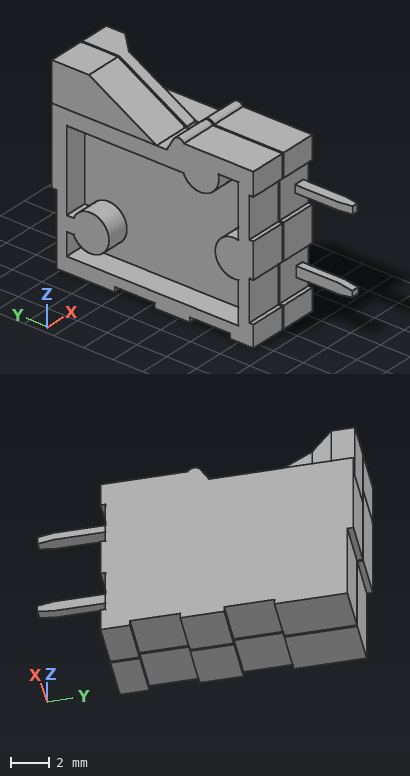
import cadquery as cq
import math


TOTAL_WIDTH = 4.98
SLICE_GAP = 0.1
SLICE_WIDTH = (TOTAL_WIDTH - SLICE_GAP) / 2
RIGHT_SLICE_X = SLICE_WIDTH + SLICE_GAP

DEPTH = 13.6
LEDGE_Z = 9.97
FRONT_TOP_Z = 10.75
BACK_STEP = 0.32
BACK_STEP_Z = 4.79
GROOVE_FRONT_Y = 5.85
RIDGE_SLOPE = math.radians(60)
RIDGE_RADIUS = 0.4
RIDGE_TOP_Z = 10.98

NOTCHES_PER_SIDE = 2
NOTCH_LENGTH = 2.7
FRONT_NOTCH_DEPTH = 0.27
BOTTOM_NOTCH_DEPTH = 0.32
NOTCH_PITCH = 5.06
LOWER_NOTCH_Z = 2.8
FIRST_NOTCH_Y = 2.94

POCKET_DEPTH = 1.5
WALL = 1.01
POCKET_BACK_Y = 12.59
POCKET_STEP_Y = 3.57
BOSS_RADIUS = 1.25
BACK_BOSS = (10.98, 3.01)
TOP_BOSS = (POCKET_STEP_Y, 9.45)
FRONT_BOSS = (1.32, 5.01)

LEVER_TOP_Z = 12.6
LEVER_KNEE_Y = 11.08
LEVER_ANGLE = math.radians(30)
LEVER_TOE_Y = LEVER_KNEE_Y - (LEVER_TOP_Z - LEDGE_Z) / math.tan(LEVER_ANGLE)
KNEE_RADIUS = 0.95
LEVER_WIDE_X = 4.58
LEVER_NARROW_X = 3.3
LEVER_SHOULDER_Y = 11.03
LEVER_TRAVEL = 1.7
SLOT_DEPTH = 1.0
SLOT_FLOOR_Z = LEDGE_Z - SLOT_DEPTH

PIN_X = 4.19
PIN_TURNS = (90, 0)
LOWER_PIN_Z = 2.79
PIN_PITCH = 5.08
PIN_TIP_Y = -3.5
PIN_TAPER_LENGTH = 0.89
PIN_WIDTH = 0.7
PIN_THICKNESS = 0.51
PIN_TIP_WIDTH = 0.41


def box(x0, x1, y0, y1, z0, z1):
    """Box between the given coordinates."""
    return cq.Workplane("XY").box(x1 - x0, y1 - y0, z1 - z0, centered=False).translate((x0, y0, z0))


def housing_blank(x_start):
    """One slice of the side profile, without pocket or slot."""
    ridge_z = RIDGE_TOP_Z - RIDGE_RADIUS
    tangent_z = ridge_z + RIDGE_RADIUS * math.cos(RIDGE_SLOPE)
    tangent_y = GROOVE_FRONT_Y - (tangent_z - LEDGE_Z) / math.tan(RIDGE_SLOPE)
    ridge_y = tangent_y - RIDGE_RADIUS * math.sin(RIDGE_SLOPE)
    ridge_end_y = ridge_y - math.sqrt(RIDGE_RADIUS**2 - (FRONT_TOP_Z - ridge_z) ** 2)
    blank = (
        cq.Workplane("YZ", origin=(x_start, 0, 0))
        .moveTo(0, 0)
        .lineTo(DEPTH - BACK_STEP, 0)
        .lineTo(DEPTH - BACK_STEP, BACK_STEP_Z)
        .lineTo(DEPTH, BACK_STEP_Z)
        .lineTo(DEPTH, LEDGE_Z)
        .lineTo(GROOVE_FRONT_Y, LEDGE_Z)
        .lineTo(tangent_y, tangent_z)
        .threePointArc((ridge_y, RIDGE_TOP_Z), (ridge_end_y, FRONT_TOP_Z))
        .lineTo(0, FRONT_TOP_Z)
        .close()
        .extrude(SLICE_WIDTH)
    )
    x_end = x_start + SLICE_WIDTH
    half = NOTCH_LENGTH / 2
    for index in range(NOTCHES_PER_SIDE):
        z = LOWER_NOTCH_Z + index * NOTCH_PITCH
        y = FIRST_NOTCH_Y + index * NOTCH_PITCH
        blank = blank.cut(box(x_start, x_end, 0, FRONT_NOTCH_DEPTH, z - half, z + half))
        blank = blank.cut(box(x_start, x_end, y - half, y + half, 0, BOTTOM_NOTCH_DEPTH))
    return blank


def side_pocket():
    """Pocket in the -X face, with three round bosses left standing to the rim."""
    pocket = box(0, POCKET_DEPTH, WALL, POCKET_BACK_Y, WALL, LEDGE_Z - WALL)
    pocket = pocket.union(box(0, POCKET_DEPTH, WALL, POCKET_STEP_Y, WALL, FRONT_TOP_Z - WALL))
    bosses = (
        cq.Workplane("YZ")
        .pushPoints([BACK_BOSS, TOP_BOSS, FRONT_BOSS])
        .circle(BOSS_RADIUS)
        .extrude(POCKET_DEPTH)
    )
    boss_y, boss_z = BACK_BOSS
    web = box(0, POCKET_DEPTH, boss_y, POCKET_BACK_Y, boss_z - WALL / 2, boss_z + WALL / 2)
    return pocket.cut(bosses).cut(web)


def lever_plan(front_y, shoulder_y, z, height):
    """Plan shape of the right lever: wide at the back, 45 degree shoulder, narrow to the front."""
    return (
        cq.Workplane("XY", origin=(0, 0, z))
        .moveTo(RIGHT_SLICE_X, DEPTH)
        .lineTo(RIGHT_SLICE_X, front_y)
        .lineTo(LEVER_NARROW_X, front_y)
        .lineTo(LEVER_NARROW_X, shoulder_y)
        .lineTo(LEVER_WIDE_X, shoulder_y + LEVER_WIDE_X - LEVER_NARROW_X)
        .lineTo(LEVER_WIDE_X, DEPTH)
        .close()
        .extrude(height)
    )


def lever_wedge(x_start):
    """One slice of the lever above the ledge: flat top, then a slope down to the toe."""
    return (
        cq.Workplane("YZ", origin=(x_start, 0, 0))
        .moveTo(DEPTH, LEDGE_Z)
        .lineTo(LEVER_TOE_Y, LEDGE_Z)
        .lineTo(LEVER_KNEE_Y, LEVER_TOP_Z)
        .lineTo(DEPTH, LEVER_TOP_Z)
        .close()
        .extrude(SLICE_WIDTH)
    )


def make_right_lever():
    """Shouldered lever with a rounded knee, its foot standing on the slot floor."""
    knee_point = (RIGHT_SLICE_X + SLICE_WIDTH / 2, LEVER_KNEE_Y, LEVER_TOP_Z)
    wedge = lever_wedge(RIGHT_SLICE_X)
    wedge = wedge.edges("|X").edges(cq.selectors.NearestToPointSelector(knee_point)).fillet(KNEE_RADIUS)
    foot = box(RIGHT_SLICE_X, TOTAL_WIDTH, LEVER_TOE_Y, DEPTH, SLOT_FLOOR_Z, LEDGE_Z)
    plan = lever_plan(LEVER_TOE_Y, LEVER_SHOULDER_Y, SLOT_FLOOR_Z, LEVER_TOP_Z - SLOT_FLOOR_Z)
    return wedge.union(foot).intersect(plan)


def lever_slot():
    """Slot in the right housing: the lever's plan, longer to the front by the lever's travel."""
    return lever_plan(GROOVE_FRONT_Y, LEVER_SHOULDER_Y - LEVER_TRAVEL, SLOT_FLOOR_Z, SLOT_DEPTH)


def make_pin(z, turn):
    """Flat pin on a front notch floor, tapering in width, turned `turn` degrees about its axis."""
    half = PIN_WIDTH / 2
    half_tip = PIN_TIP_WIDTH / 2
    taper_y = PIN_TIP_Y + PIN_TAPER_LENGTH
    pin = (
        cq.Workplane("XY", origin=(0, 0, -PIN_THICKNESS / 2))
        .polyline(
            [
                (-half, FRONT_NOTCH_DEPTH),
                (-half, taper_y),
                (-half_tip, PIN_TIP_Y),
                (half_tip, PIN_TIP_Y),
                (half, taper_y),
                (half, FRONT_NOTCH_DEPTH),
            ]
        )
        .close()
        .extrude(PIN_THICKNESS)
    )
    return pin.rotate((0, 0, 0), (0, 1, 0), turn).translate((PIN_X, 0, z))


left_housing = housing_blank(0).cut(side_pocket())
right_housing = housing_blank(RIGHT_SLICE_X).cut(lever_slot())
left_lever = lever_wedge(0)
right_lever = make_right_lever()
pins = [make_pin(LOWER_PIN_Z + index * PIN_PITCH, turn).val() for index, turn in enumerate(PIN_TURNS)]

result = cq.Compound.makeCompound(
    [left_housing.val(), right_housing.val(), left_lever.val(), right_lever.val(), *pins]
)